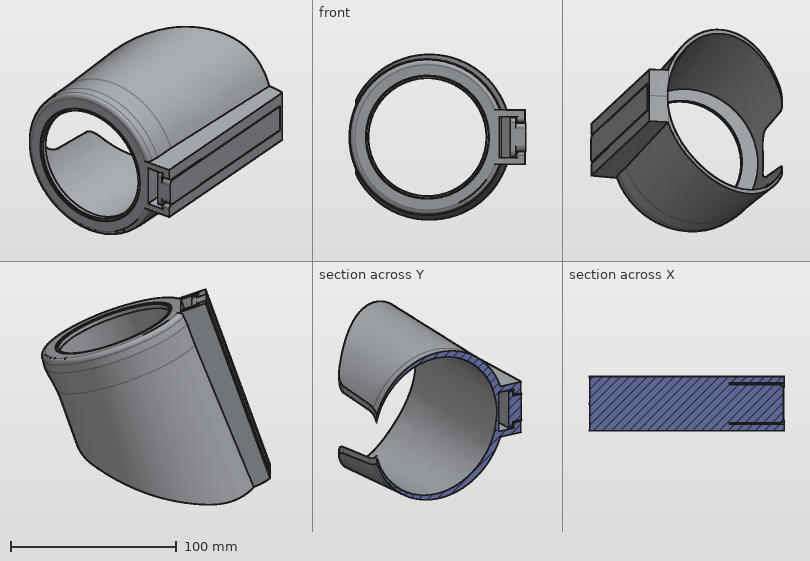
import cadquery as cq


LENGTH = 118.0
BARREL_RADIUS = 47.2
CONE_START_Y = 22.1
REAR_RADIUS = 50.6
FACE_RADIUS = 43.9
RIM_RADIUS = 46.7
RIM_LENGTH = 3.2
TAPER_END_Y = 8.1

LIP_THICKNESS = 3.2
BORE_RADIUS = 71.0 / 2
RECESS_MOUTH_RADIUS = 37.3
RECESS_FLOOR_RADIUS = 36.8
RECESS_DEPTH = 0.5

CAVITY_FRONT_RADIUS = 43.0
CAVITY_FRONT_X = -2.5
CAVITY_REAR_RADIUS = 48.3
CAVITY_REAR_X = -0.1

BLOCK_X = 59.0
BLOCK_HALF_HEIGHT = 16.4
BLOCK_ROOT_X = 38.9

CHANNEL_DEPTH = 33.0
CHANNEL_X = 43.2
CHANNEL_HALF_HEIGHT = 12.4
CHANNEL_END_FILLET = 1.4
CHANNEL_LIP_X = 53.5
CHANNEL_MOUTH_HALF_HEIGHT = 8.8
CHANNEL_LIP_FILLET = 1.8
CHANNEL_LIP_INNER_FILLET = 1.1

TONGUE_START = 0.4
TONGUE_END = 113.2
TONGUE_OUTER_X = 59.4
TONGUE_STEP_X = 53.2
TONGUE_INNER_X = 50.0
FLANGE_HALF_HEIGHT = 11.7
NECK_HALF_HEIGHT = 8.4
TONGUE_FILLET = 5.5 / 2
ROOT_RAMP_X = CHANNEL_X + CHANNEL_END_FILLET
ROOT_RAMP_LENGTH = 4.6

NOTCH_TIP = (-47.4, 7.7)
NOTCH_ARC_MIDDLE = (-44.4, 17.0)
NOTCH_X = -43.3
NOTCH_START_Y = 26.7
NOTCH_END_Y = 55.6
SLOPE_START = (-38.1, 68.0)
SLOPE_CURVE = [(-12.4, 91.2), (16.8, 109.5), (31.4, 115.9), (44.2, LENGTH), (60.2, 115.8)]

MARGIN = 23.6


def barrel():
    profile = (
        cq.Workplane("XY")
        .moveTo(0, 0)
        .lineTo(FACE_RADIUS, 0)
        .tangentArcPoint((RIM_RADIUS, RIM_LENGTH), relative=False)
        .lineTo(BARREL_RADIUS, TAPER_END_Y)
        .lineTo(BARREL_RADIUS, CONE_START_Y)
        .lineTo(REAR_RADIUS, LENGTH)
        .lineTo(0, LENGTH)
        .close()
    )
    return profile.revolve(360, (0, 0), (0, 1))


def box(x_range, y_range, half_height):
    """Box between two X and two Y positions, symmetric about z = 0."""
    width = x_range[1] - x_range[0]
    depth = y_range[1] - y_range[0]
    block = cq.Workplane("XY").box(width, depth, 2 * half_height, centered=(False, False, True))
    return block.translate((x_range[0], y_range[0], 0))


def bore():
    profile = (
        cq.Workplane("XY")
        .moveTo(0, 0)
        .lineTo(RECESS_MOUTH_RADIUS, 0)
        .lineTo(RECESS_FLOOR_RADIUS, RECESS_DEPTH)
        .lineTo(BORE_RADIUS, RECESS_DEPTH)
        .lineTo(BORE_RADIUS, LIP_THICKNESS)
        .lineTo(0, LIP_THICKNESS)
        .close()
    )
    return profile.revolve(360, (0, 0), (0, 1))


def cavity():
    along = cq.Vector(0, 1, 0)
    front = cq.Wire.makeCircle(CAVITY_FRONT_RADIUS, cq.Vector(CAVITY_FRONT_X, LIP_THICKNESS, 0), along)
    rear = cq.Wire.makeCircle(CAVITY_REAR_RADIUS, cq.Vector(CAVITY_REAR_X, LENGTH, 0), along)
    return cq.Workplane("XY").add(cq.Solid.makeLoft([front, rear], True))


def rear_cut():
    """Everything behind the notch and the sloping rear end."""
    far_x = NOTCH_TIP[0] - MARGIN
    far_y = LENGTH + MARGIN
    outline = (
        cq.Workplane("XY")
        .moveTo(far_x, NOTCH_TIP[1])
        .lineTo(*NOTCH_TIP)
        .threePointArc(NOTCH_ARC_MIDDLE, (NOTCH_X, NOTCH_START_Y))
        .lineTo(NOTCH_X, NOTCH_END_Y)
        .tangentArcPoint(SLOPE_START, relative=False)
        .spline(SLOPE_CURVE, includeCurrent=True)
        .lineTo(SLOPE_CURVE[-1][0], far_y)
        .lineTo(far_x, far_y)
        .close()
    )
    return outline.extrude(REAR_RADIUS + MARGIN, both=True)


def channel():
    chamber = box((CHANNEL_X, CHANNEL_LIP_X), (0, CHANNEL_DEPTH), CHANNEL_HALF_HEIGHT)
    chamber = chamber.edges("<X and >Y").fillet(CHANNEL_END_FILLET)
    mouth = box((CHANNEL_X + CHANNEL_END_FILLET, BLOCK_X), (0, CHANNEL_DEPTH), CHANNEL_MOUTH_HALF_HEIGHT)
    return chamber.union(mouth)


def tongue():
    flange = box((TONGUE_INNER_X, TONGUE_STEP_X), (TONGUE_START, TONGUE_END), FLANGE_HALF_HEIGHT)
    neck = box((TONGUE_INNER_X, TONGUE_OUTER_X), (TONGUE_START, TONGUE_END), NECK_HALF_HEIGHT)
    return flange.union(neck).faces("<Y").edges("|X").fillet(TONGUE_FILLET)


def tongue_root():
    """Wedge that fills the corner between the tongue and the channel end."""
    outline = [
        (ROOT_RAMP_X, CHANNEL_DEPTH),
        (TONGUE_INNER_X, CHANNEL_DEPTH - ROOT_RAMP_LENGTH),
        (TONGUE_INNER_X, CHANNEL_DEPTH),
    ]
    return cq.Workplane("XY").polyline(outline).close().extrude(CHANNEL_HALF_HEIGHT, both=True)


def round_channel_entry(blank):
    """Round the front edges of the two lips that overhang the channel."""
    lip_middle_z = (CHANNEL_HALF_HEIGHT + CHANNEL_MOUTH_HALF_HEIGHT) / 2
    mouth_middle_x = (CHANNEL_LIP_X + BLOCK_X) / 2
    for side in (1, -1):
        inner_edge = cq.NearestToPointSelector((CHANNEL_LIP_X, 0, side * lip_middle_z))
        blank = blank.edges(inner_edge).fillet(CHANNEL_LIP_INNER_FILLET)
        mouth_edge = cq.NearestToPointSelector((mouth_middle_x, 0, side * CHANNEL_MOUTH_HALF_HEIGHT))
        blank = blank.edges(mouth_edge).fillet(CHANNEL_LIP_FILLET)
    return blank


body = barrel().union(box((BLOCK_ROOT_X, BLOCK_X), (0, LENGTH), BLOCK_HALF_HEIGHT))
body = round_channel_entry(body.cut(channel()))
body = body.union(tongue()).union(tongue_root())
result = body.cut(bore()).cut(cavity()).cut(rear_cut())